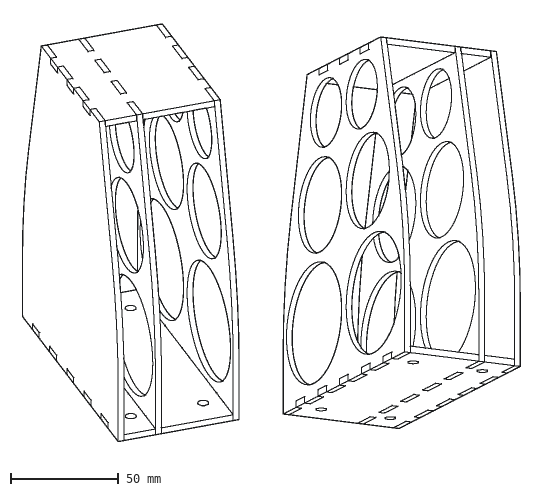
import cadquery as cq

base_width = 127.0
top_width = 77.0
depth = 60.0
height = 157.0

panel_thickness = 3.0
plate_thickness = 3.1

flank_corner_z = 61.5
flank_blend_radius = 251.2

corner_search_margin = 1.5

front_panel_y = 0.0
middle_panel_y = 18.5
rear_panel_y = depth - panel_thickness
panel_positions = [front_panel_y, middle_panel_y, rear_panel_y]

tab_width = 9.0
top_tab_count = 3
top_tab_pitch = 21.5
bottom_tab_count = 5
bottom_tab_pitch = 22.8

opening_diameters = [57.5, 45.0, 32.5]
opening_side_web = 4.9
opening_stack_gap = 4.1

mount_hole_diameter = 5.0
mount_hole_x = 48.0
mount_hole_inset_y = 12.1

top_plate_z = height - plate_thickness
bottom_plate_z = 0.0


def block(width, y_start, y_length, z_start, z_length, x_centre=0.0):
    """Rectangular block centred on x_centre, starting at y_start and z_start."""
    return (
        cq.Workplane("XY")
        .box(width, y_length, z_length, centered=(True, False, False))
        .translate((x_centre, y_start, z_start))
    )


def plate_tabs(count, pitch, panel_y, plate_z):
    """Row of plate tabs lying within the thickness of one panel."""
    tabs = cq.Workplane("XY")
    for index in range(count):
        x = (index - (count - 1) / 2) * pitch
        tabs = tabs.add(block(tab_width, panel_y, panel_thickness, plate_z, plate_thickness, x))
    return tabs.combine()


def top_tabs(panel_y):
    return plate_tabs(top_tab_count, top_tab_pitch, panel_y, top_plate_z)


def bottom_tabs(panel_y):
    return plate_tabs(bottom_tab_count, bottom_tab_pitch, panel_y, bottom_plate_z)


def make_solid_panel(panel_y):
    """Upright panel with curved flanks, notched for the tabs of both plates."""
    half_base = base_width / 2
    half_top = top_width / 2
    panel = (
        cq.Workplane("XZ", origin=(0, panel_y, 0))
        .polyline([
            (-half_base, 0),
            (half_base, 0),
            (half_base, flank_corner_z),
            (half_top, height),
            (-half_top, height),
            (-half_base, flank_corner_z),
        ])
        .close()
        .extrude(-panel_thickness)
    )
    flank_corners = cq.selectors.BoxSelector(
        (-base_width, panel_y, flank_corner_z - corner_search_margin),
        (base_width, panel_y + panel_thickness, flank_corner_z + corner_search_margin),
    )
    panel = panel.edges("|Y").edges(flank_corners).fillet(flank_blend_radius)
    return panel.cut(top_tabs(panel_y)).cut(bottom_tabs(panel_y))


def make_open_panel(panel_y):
    """Upright panel lightened by pairs of round openings either side of a central web."""
    panel = make_solid_panel(panel_y)
    opening_bottom_z = bottom_plate_z + plate_thickness + opening_stack_gap
    for diameter in opening_diameters:
        centre_x = (diameter + opening_side_web) / 2
        centre_z = opening_bottom_z + diameter / 2
        cutter = (
            cq.Workplane("XZ", origin=(0, panel_y, 0))
            .pushPoints([(-centre_x, centre_z), (centre_x, centre_z)])
            .circle(diameter / 2)
            .extrude(-panel_thickness)
        )
        panel = panel.cut(cutter)
        opening_bottom_z += diameter + opening_stack_gap
    return panel


def make_plate(width, plate_z, tabs_at):
    """Horizontal plate cut away at every panel except for its tabs."""
    plate = block(width, 0, depth, plate_z, plate_thickness)
    for panel_y in panel_positions:
        panel_strip = block(width, panel_y, panel_thickness, plate_z, plate_thickness)
        plate = plate.cut(panel_strip.cut(tabs_at(panel_y)))
    return plate


def make_bottom_plate():
    """Bottom plate with a mounting hole near each corner."""
    plate = make_plate(base_width, bottom_plate_z, bottom_tabs)
    holes = (
        cq.Workplane("XY", origin=(0, depth / 2, bottom_plate_z))
        .rect(2 * mount_hole_x, depth - 2 * mount_hole_inset_y, forConstruction=True)
        .vertices()
        .circle(mount_hole_diameter / 2)
        .extrude(plate_thickness)
    )
    return plate.cut(holes)


front_panel = make_solid_panel(front_panel_y)
open_panels = [make_open_panel(panel_y) for panel_y in (middle_panel_y, rear_panel_y)]
top_plate = make_plate(top_width, top_plate_z, top_tabs)
bottom_plate = make_bottom_plate()

result = cq.Compound.makeCompound([
    front_panel.val(),
    *[panel.val() for panel in open_panels],
    top_plate.val(),
    bottom_plate.val(),
])